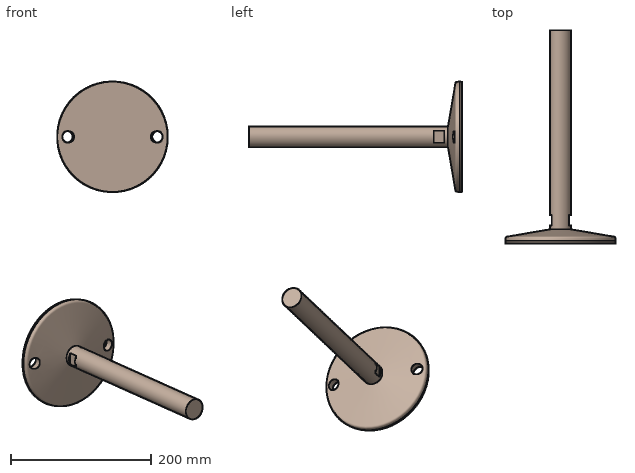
import cadquery as cq
import math

total_length = 304.0
disc_diameter = 158.0
stem_diameter = 30.0

base_radius = 78.5
rim_height = 3.5
shoulder_height = 7.3
shoulder_radius = 78.5
cone_edge_radius = 75.7
cone_edge_height = 10.0
cone_top_height = 20.5

flat_start = 25.8
flat_length = 14.5
across_flats = 25.0

hole_diameter = 16.5
hole_offset = 63.0

disc_radius = disc_diameter / 2
stem_radius = stem_diameter / 2
base_y = -total_length / 2
cone_angle = math.atan2(cone_top_height - cone_edge_height, cone_edge_radius - stem_radius)


def make_body():
    """Disc and stem in one turned profile, with a rounded edge that meets the cone smoothly."""
    cone_direction = (-math.cos(cone_angle), math.sin(cone_angle))
    profile = (
        cq.Workplane("XY")
        .workplane(origin=(0, base_y, 0))
        .moveTo(0, 0)
        .lineTo(base_radius, 0)
        .lineTo(disc_radius, rim_height)
        .lineTo(shoulder_radius, shoulder_height)
        .spline(
            [(shoulder_radius, shoulder_height), (cone_edge_radius, cone_edge_height)],
            tangents=[(shoulder_radius - disc_radius, shoulder_height - rim_height), cone_direction],
        )
        .lineTo(stem_radius, cone_top_height)
        .lineTo(stem_radius, total_length)
        .lineTo(0, total_length)
        .close()
    )
    return profile.revolve(360, (0, 0, 0), (0, 1, 0))


def make_flat_cutter(side):
    """Block that removes one side of the stem beyond the wrench flat."""
    return cq.Workplane("XY").box(stem_diameter, flat_length, stem_diameter).translate(
        (side * (across_flats + stem_diameter) / 2, base_y + flat_start + flat_length / 2, 0)
    )


def make_hole_cutter(side):
    """Cylinder square to the cone, centred where the hole meets the base."""
    length = 2 * cone_top_height
    axis = cq.Vector(side * math.sin(cone_angle), math.cos(cone_angle), 0)
    middle = cq.Vector(side * hole_offset, base_y, 0)
    start = middle - axis * (length / 2)
    return cq.Workplane(cq.Solid.makeCylinder(hole_diameter / 2, length, start, axis))


result = make_body()
for side in (-1, 1):
    result = result.cut(make_flat_cutter(side)).cut(make_hole_cutter(side))